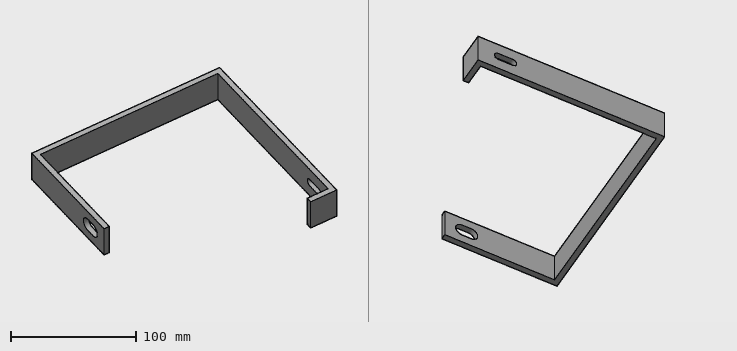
import cadquery as cq

width = 170.0
depth = 180.0
height = 29.0
thickness = 5.0

front_arm_length = 105.0
lip_length = 25.0

slot_length = 20.0
front_slot_height = 12.0
rear_slot_height = 7.0
front_slot_end_distance = 20.0
rear_slot_end_distance = 25.0


def make_strip():
    """Open rectangular frame with a short front arm and a lip behind."""
    return (
        cq.Workplane("XY")
        .moveTo(0, 0)
        .lineTo(front_arm_length, 0)
        .lineTo(front_arm_length, thickness)
        .lineTo(thickness, thickness)
        .lineTo(thickness, depth - thickness)
        .lineTo(width - thickness, depth - thickness)
        .lineTo(width - thickness, depth - lip_length)
        .lineTo(width, depth - lip_length)
        .lineTo(width, depth)
        .lineTo(0, depth)
        .close()
        .extrude(height)
    )


def make_slot(center_x, wall_front_y, slot_height):
    """Round-ended cutter through one wall, running along Y."""
    return (
        cq.Workplane("XZ", origin=(center_x, wall_front_y, height / 2))
        .slot2D(slot_length, slot_height)
        .extrude(-thickness)
    )


front_slot = make_slot(front_arm_length - front_slot_end_distance, 0, front_slot_height)
rear_slot = make_slot(width - rear_slot_end_distance, depth - thickness, rear_slot_height)

result = make_strip().cut(front_slot).cut(rear_slot)